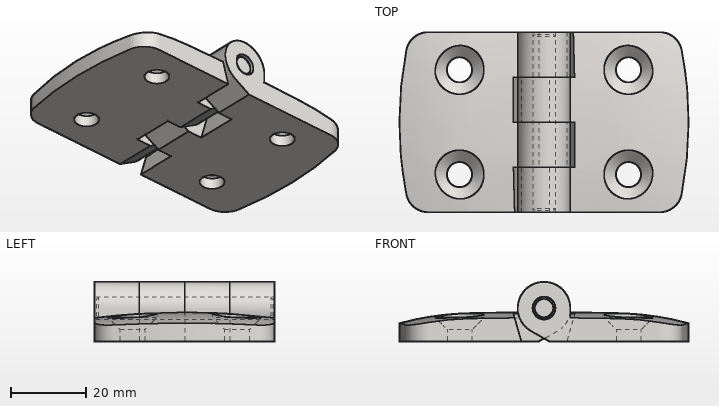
import cadquery as cq
import math

length = 77.0
width = 48.0
height = 15.95

barrel_radius = 7.0
axis_z = height - barrel_radius
knuckle_count = 4
knuckle_width = width / knuckle_count
foot_angle = math.radians(30)
pin_diameter = 5.9
pin_hole_diameter = 6.0
pin_chamfer = 0.55
pin_recess = 0.55

end_radius = 100.1
corner_radius = 6.0

crown_z = 7.85
crown_seam_x = 20.1
crown_seam_z = 7.6
crown_edge_x = length / 2 + 0.8
crown_edge_z = 4.7
cross_radius = 192.5

gap_bottom_x = 6.0
gap_angle = math.radians(16)

screw_x = 22.5
screw_y = 13.9
screw_diameter = 6.6
head_diameter = 13.0
head_seat_z = 6.5


def plate_outline():
    """Block with a bowed outer end and rounded corners, on the -X side."""
    half_width = width / 2
    corner_x = length / 2 - (end_radius - math.sqrt(end_radius**2 - half_width**2))
    return (
        cq.Workplane("XY")
        .moveTo(-gap_bottom_x, -half_width)
        .lineTo(-corner_x, -half_width)
        .threePointArc((-length / 2, 0), (-corner_x, half_width))
        .lineTo(-gap_bottom_x, half_width)
        .close()
        .extrude(height)
        .edges("|Z")
        .edges("<X")
        .fillet(corner_radius)
    )


def crown_body():
    """Everything under the crowned top: the long profile revolved about an axis parallel to X."""
    cross_axis_z = crown_z - cross_radius
    seam_drop = crown_z - crown_seam_z
    inner_radius = (crown_seam_x**2 + seam_drop**2) / (2 * seam_drop)
    inner_half_angle = math.asin(crown_seam_x / inner_radius) / 2
    inner_mid = (
        -inner_radius * math.sin(inner_half_angle),
        crown_z - inner_radius * (1 - math.cos(inner_half_angle)),
    )
    return (
        cq.Workplane("XZ")
        .moveTo(0, crown_z)
        .threePointArc(inner_mid, (-crown_seam_x, crown_seam_z))
        .tangentArcPoint((-crown_edge_x, crown_edge_z), relative=False)
        .lineTo(-crown_edge_x, cross_axis_z)
        .lineTo(0, cross_axis_z)
        .close()
        .revolve(360, (0, cross_axis_z, 0), (1, cross_axis_z, 0))
    )


def along_y(profile, slot):
    """Extrude an XZ profile across one knuckle slot; slot 0 is at the -Y end."""
    return profile.extrude(-knuckle_width).translate((0, slot * knuckle_width - width / 2, 0))


def knuckle(slot):
    """Barrel section with a straight wall on the leaf side and a tangent flat underneath."""
    tangent_x = barrel_radius * math.sin(foot_angle)
    tangent_z = axis_z - barrel_radius * math.cos(foot_angle)
    foot_x = tangent_x - tangent_z / math.tan(foot_angle)
    profile = (
        cq.Workplane("XZ")
        .moveTo(-barrel_radius, 0)
        .lineTo(foot_x, 0)
        .lineTo(tangent_x, tangent_z)
        .threePointArc((0, height), (-barrel_radius, axis_z))
        .close()
    )
    return along_y(profile, slot)


def knuckle_gap(slot):
    """Clearance for a knuckle of the other leaf, bounded by the slanted inner edge."""
    profile = cq.Workplane("XZ").polyline([
        (-gap_bottom_x, 0),
        (-gap_bottom_x - height * math.tan(gap_angle), height),
        (-gap_bottom_x, height),
    ]).close()
    return along_y(profile, slot)


def screw_hole(y):
    """Through hole, 90 degree countersink and straight head recess above it."""
    screw_radius = screw_diameter / 2
    head_radius = head_diameter / 2
    cone_bottom_z = head_seat_z - (head_radius - screw_radius)
    profile = cq.Workplane("XZ").polyline([
        (0, 0),
        (screw_radius, 0),
        (screw_radius, cone_bottom_z),
        (head_radius, head_seat_z),
        (head_radius, height),
        (0, height),
    ]).close()
    return profile.revolve().translate((-screw_x, y, 0))


def axis_cylinder(diameter, cylinder_length):
    """Cylinder on the hinge axis, centred across the width."""
    start = (0, cylinder_length / 2, axis_z)
    return cq.Workplane("XZ", origin=start).circle(diameter / 2).extrude(cylinder_length)


def make_leaf():
    """Leaf on the -X side, with its knuckles in every second slot from slot 1."""
    leaf = plate_outline().intersect(crown_body())
    for slot in range(0, knuckle_count, 2):
        leaf = leaf.cut(knuckle_gap(slot))
    for slot in range(1, knuckle_count, 2):
        leaf = leaf.union(knuckle(slot))
    for y in (-screw_y, screw_y):
        leaf = leaf.cut(screw_hole(y))
    return leaf.cut(axis_cylinder(pin_hole_diameter, width))


def make_pin():
    """Plain pin, recessed in the barrel and chamfered at both ends."""
    pin_length = width - 2 * pin_recess
    return axis_cylinder(pin_diameter, pin_length).faces("<Y or >Y").chamfer(pin_chamfer)


leaf_shape = make_leaf()
leaves = [leaf_shape.rotate((0, 0, 0), (0, 0, 1), turn).val() for turn in (0, 180)]
pin = make_pin()

result = cq.Compound.makeCompound([*leaves, pin.val()])